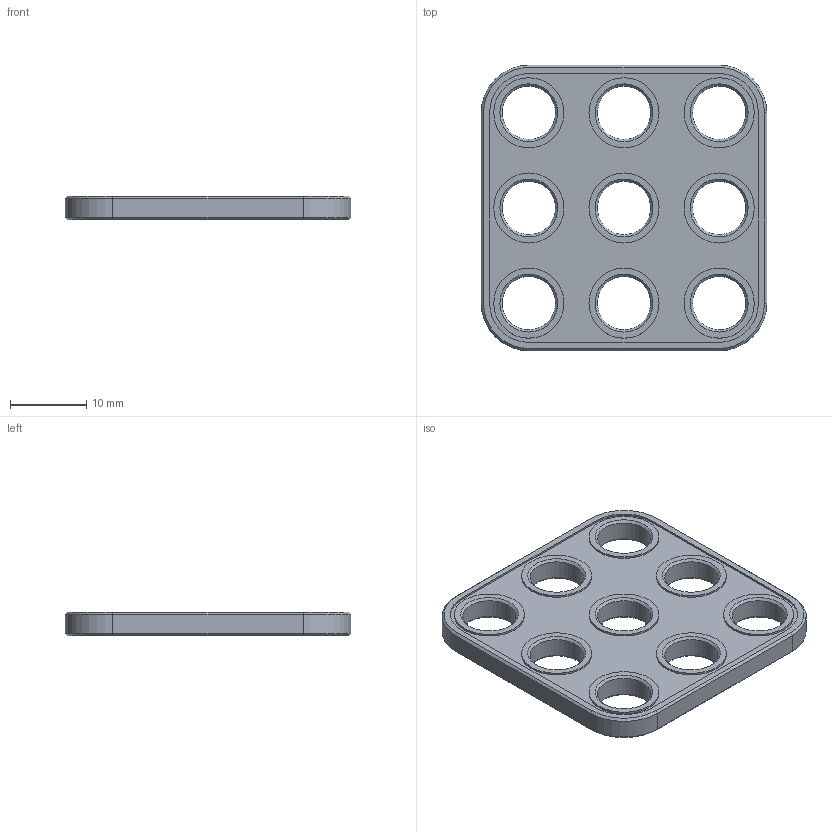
import cadquery as cq

cell = 12.5
cells_per_side = 3
plate_side = cell * cells_per_side
plate_thickness = cell / 4
corner_radius = cell / 2

hole_diameter = 7.0
ring_diameter = 9.2
edge_chamfer = 0.3

rim_width = (ring_diameter - hole_diameter) / 2
recess_depth = 0.25


def rounded_block(side, radius, height, base_z):
    """Square block with rounded vertical corners, standing on base_z."""
    return (
        cq.Workplane("XY", origin=(0, 0, base_z))
        .rect(side, side)
        .extrude(height)
        .edges("|Z")
        .fillet(radius)
    )


def grid_cylinders(diameter, height, base_z):
    """One cylinder at the centre of every cell."""
    return (
        cq.Workplane("XY", origin=(0, 0, base_z))
        .rarray(cell, cell, cells_per_side, cells_per_side)
        .circle(diameter / 2)
        .extrude(height)
    )


def drilled_plate():
    """Rounded plate with through holes, chamfered along every top and bottom edge."""
    plate = rounded_block(plate_side, corner_radius, plate_thickness, 0)
    holes = grid_cylinders(hole_diameter, plate_thickness, 0)
    return plate.cut(holes).faces("<Z or >Z").edges().chamfer(edge_chamfer)


def top_recess():
    """Material removed from the top face, leaving the rim and the rings standing."""
    floor_z = plate_thickness - recess_depth
    pocket = rounded_block(
        plate_side - 2 * rim_width, corner_radius - rim_width, recess_depth, floor_z
    )
    return pocket.cut(grid_cylinders(ring_diameter, recess_depth, floor_z))


result = drilled_plate().cut(top_recess())